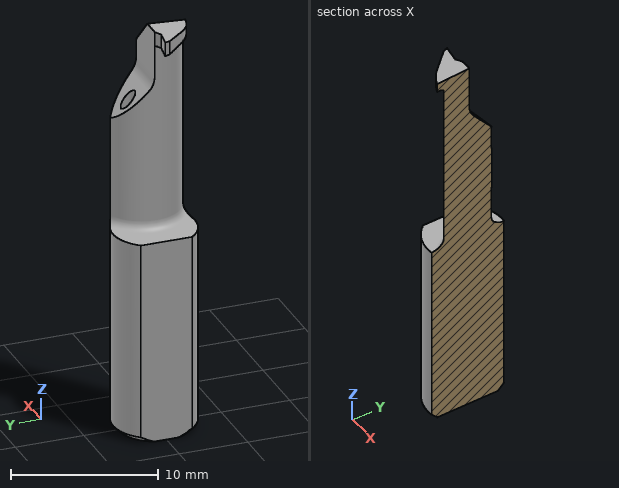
import cadquery as cq
import math

total_length = 30.0
body_radius = 3.0
flat_x = -2.35
shank_length = 15.0
end_chamfer = 0.5

neck_back_x = -0.47
neck_edge_x = 1.38
neck_fillet = 0.75

flank_y = 0.14
flank_straight_z = 26.0
runout_angle = 41.0
runout_radius = 1.5

head_thickness = 1.05
head_fillet = 0.15
relief_angle = 3.5
nose_x = -2.27
nose_y = 0.06
nose_land_length = 0.4
nose_land_end_x = -2.12
heel_x = -0.74
heel_y = -1.85
heel_arc_x = 0.05
heel_arc_y = -2.38
rake_root_x = -1.0
rake_root_y = -0.13
rake_step_x = -0.5
tip_bevel_start_x = 0.9

coolant_x = 1.04
coolant_y = 1.5
coolant_diameter = 1.0

neck_edge_y = math.sqrt(body_radius**2 - neck_edge_x**2)
neck_sagitta = neck_edge_x - neck_back_x
neck_radius = (neck_edge_y**2 + neck_sagitta**2) / (2 * neck_sagitta)
neck_center_x = neck_back_x + neck_radius
head_bottom_z = total_length - head_thickness
margin = 10.0


def cylinder(radius, height):
    """Upright cylinder on the Z axis, starting at the end face."""
    return cq.Workplane("XY").circle(radius).extrude(height)


def make_shank():
    """Round shank with a chamfered end and one clamping flat."""
    shank = cylinder(body_radius, shank_length).faces("<Z").chamfer(end_chamfer)
    flat_cut = cq.Workplane("XY").box(margin, margin, total_length, centered=(True, True, False))
    return shank.cut(flat_cut.translate((flat_x - margin / 2, 0, 0)))


def make_neck():
    """Neck standing on the shank, flared by a concave fillet at its root."""
    flare_z = shank_length + neck_fillet
    bend = neck_fillet * (1 - math.sqrt(0.5))
    profile = (
        cq.Workplane("XZ")
        .moveTo(0, shank_length)
        .lineTo(neck_radius + neck_fillet, shank_length)
        .threePointArc((neck_radius + bend, shank_length + bend), (neck_radius, flare_z))
        .lineTo(neck_radius, total_length)
        .lineTo(0, total_length)
        .close()
    )
    turned = profile.revolve(360, (0, 0, 0), (0, 1, 0)).translate((neck_center_x, 0, 0))
    return turned.intersect(cylinder(body_radius, total_length))


def make_head():
    """Hooked cutting head with a relieved underside that blends into the neck."""
    plan = (
        cq.Workplane("XY")
        .workplane(offset=head_bottom_z - head_thickness)
        .moveTo(nose_x, nose_y)
        .lineTo(nose_land_end_x, nose_y - nose_land_length)
        .lineTo(heel_x, heel_y)
        .threePointArc((heel_arc_x, heel_arc_y), (neck_edge_x, -neck_edge_y))
        .lineTo(neck_edge_x, flank_y)
        .lineTo(rake_step_x, flank_y)
        .lineTo(rake_root_x, rake_root_y)
        .close()
        .extrude(2 * head_thickness)
    )
    slab = (
        cq.Workplane("XY")
        .box(2 * margin, 2 * margin, margin)
        .translate((neck_center_x, 0, head_bottom_z + margin / 2))
        .rotate((0, flank_y, head_bottom_z), (1, flank_y, head_bottom_z), -relief_angle)
    )
    core = cylinder(neck_radius, total_length).translate((neck_center_x, 0, 0))
    root = cq.selectors.NearestToPointSelector((neck_center_x, 0, head_bottom_z))
    return core.union(slab).edges(root).fillet(head_fillet).intersect(plan)


def make_flank_cut():
    """Clearance beside the neck: upright wall blending into a slanted run-out."""
    runout_height = margin / math.tan(math.radians(runout_angle))
    block = (
        cq.Workplane("YZ")
        .moveTo(flank_y, total_length + margin)
        .lineTo(flank_y, flank_straight_z)
        .lineTo(flank_y + margin, flank_straight_z - runout_height)
        .lineTo(flank_y + margin, total_length + margin)
        .close()
        .extrude(margin, both=True)
    )
    corner = cq.selectors.NearestToPointSelector((0, flank_y, flank_straight_z))
    return block.edges(corner).fillet(runout_radius)


def make_top_cut():
    """Relieved top face with its 45 degree bevel, both falling away from the cutting edge."""
    cut = (
        cq.Workplane("XZ")
        .moveTo(-margin, total_length)
        .lineTo(tip_bevel_start_x, total_length)
        .lineTo(tip_bevel_start_x + margin, total_length - margin)
        .lineTo(tip_bevel_start_x + margin, total_length + margin)
        .lineTo(-margin, total_length + margin)
        .close()
        .extrude(margin, both=True)
    )
    return cut.rotate((0, flank_y, total_length), (1, flank_y, total_length), relief_angle)


coolant_hole = cylinder(coolant_diameter / 2, total_length).translate((coolant_x, coolant_y, 0))

neck = make_neck().cut(make_flank_cut()).union(make_head())
neck = neck.cut(make_top_cut())
result = make_shank().union(neck).cut(coolant_hole)